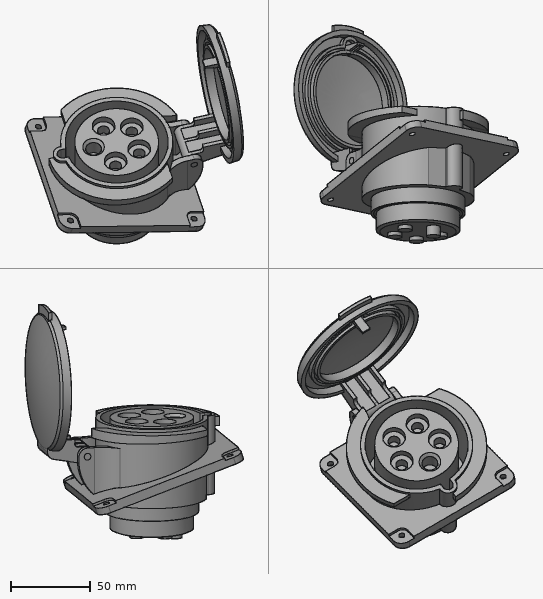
import cadquery as cq
import math

CUP_RADIUS = 35.3
CUP_BORE = 32.4
CUP_HEIGHT = 51.1
CUP_FLOOR = 3.1
SKIRT_RADIUS = 29.6
SKIRT_DEPTH = 9.5
SKIRT_BORE = 28.1

KEY_CENTRE = 35.3
KEY_RADIUS = 5.9
LOWER_KEY_RADIUS = 5.4
KEY_SLOT_RADIUS = 3.4
FLAT_HALF_WIDTH = 17.0
FLAT_DEPTH = 0.8

FLANGE_WIDTH = 90.0
FLANGE_LENGTH = 100.0
FLANGE_THICKNESS = 6.2
FLANGE_TILT = 18.0
FLANGE_TOP_Y = 0.2
FLANGE_TOP_Z = 20.7
FLANGE_CORNER = 7.1
PAD_WIDTH = 11.3
PAD_LENGTH = 12.5
PAD_CORNER = 4.6
PAD_DEPTH = 1.5
SCREW_SPACING_X = 76.9
SCREW_SPACING_Y = 80.7
SCREW_CENTRE_Y = -0.3
SCREW_RADIUS = 1.9

WING_RADIUS = 44.3
WING_TOP = 49.0
WING_THICK_BOTTOM = 43.0
WING_THIN_BOTTOM = 45.0
WING_END_Y = 26.9
RAMP_START_Y = 32.4

HINGE_Y = 46.3
HINGE_Z = 31.8
BARREL_RADIUS = 5.5
PIN_RADIUS = 2.2
CHEEK_HALF_WIDTH = 16.0
CHEEK_THICKNESS = 3.9
CHEEK_FOOT_Y = 42.5
CHEEK_FOOT_Z = 7.3
CHEEK_BULGE_Y = 49.5
CHEEK_BULGE_Z = 17.5
CHEEK_BLEND_Y = 41.8
ARM_CLEARANCE = 0.2

INSERT_RADIUS = 26.4
INSERT_TOP = CUP_HEIGHT
INSERT_BOTTOM = -21.3
INSERT_CHAMFER_HEIGHT = 2.3
INSERT_CHAMFER_WIDTH = 1.0
COLLAR_RADIUS = 28.0
CONTACT_COUNT = 5
CONTACT_CIRCLE = 15.1
SOCKET_RADIUS = 7.1
SOCKET_DEPTH = 5.0
CONTACT_RADIUS = 3.7
CONTACT_DEPTH = 12.3
EARTH_MOUTH_RADIUS = 6.8
EARTH_RADIUS = 5.0
COUNTERSINK_DEPTH = 1.9
TERMINAL_RADIUS = 4.5
TERMINAL_LENGTH = 2.5
EARTH_TERMINAL_LENGTH = 6.2

LID_Z = 78.4
LID_FRONT = 64.4
LID_SHOULDER = 69.8
LID_BACK = 71.3
LID_APEX = 75.8
LID_RADIUS = 44.5
SHOULDER_RADIUS = 43.8
DOME_RADIUS = 42.3
RIM_BORE = 41.2
RIM_DRAFT = 5.0
LID_FLOOR = 69.1
OUTER_RING_FRONT = 66.2
OUTER_RING_BORE = 33.3
INNER_RING_FRONT = 65.1
INNER_RING_RADIUS = 31.6
DISH_RADIUS = 29.6
DISH_EDGE = 71.0
DISH_APEX = 73.5
LID_KEY_CENTRE = 34.4
LID_KEY_RADIUS = 6.8
LID_KEY_SLOT = 4.5
TAB_RADIUS = 48.5
TAB_WIDTH = 24.0
TAB_FRONT = 68.5
TAB_THICKNESS = 2.2

TONGUE_WIDTH = 5.7
TONGUE_TOP = 113.5
TONGUE_TIP_Y = 56.8
TONGUE_TIP_HEIGHT = 1.5
TONGUE_ROOT_HEIGHT = 3.5
TONGUE_SLOT_WIDTH = 1.7
TONGUE_SLOT_TOP = 112.2

ARM_HEEL_Z = 31.2
ARM_HEEL_RADIUS = 5.0
RIB_TOP = 42.5
RIB_END_Y = 53.4
RIB_STEP_Z = 40.1
RIB_BLEND_Y = 51.5
CHANNEL_FLOOR = 37.0
SIDE_RIB = 2.5
MIDDLE_RIB = 2.2

arm_half_width = CHEEK_HALF_WIDTH - CHEEK_THICKNESS - ARM_CLEARANCE


def cylinder(radius, bottom, top, x=0.0, y=0.0):
    """Vertical cylinder between two heights."""
    return cq.Workplane("XY", origin=(x, y, bottom)).circle(radius).extrude(top - bottom)


def box(x_range, y_range, z_range):
    """Axis-aligned block between pairs of limits."""
    size = [high - low for low, high in (x_range, y_range, z_range)]
    corner = (x_range[0], y_range[0], z_range[0])
    return cq.Workplane("XY").box(*size, centered=False).translate(corner)


def keyed_prism(plane, radius, key_radius, key_offset, depth):
    """Round disc with a round-ended bulge at `key_offset` along the plane's second axis."""
    disc = plane.circle(radius).extrude(depth)
    bulge = plane.center(0, key_offset).circle(key_radius).extrude(depth)
    neck = plane.center(0, key_offset / 2).rect(2 * key_radius, abs(key_offset)).extrude(depth)
    return disc.union(bulge).union(neck)


def x_prism(outline, half_width):
    """Extrude an outline in the YZ plane symmetrically about X = 0."""
    return outline.extrude(half_width, both=True)



def place_on_flange(body):
    """Move a body from the level frame of the flange top to its tilted place."""
    tilted = body.rotate((0, 0, 0), (1, 0, 0), -FLANGE_TILT)
    return tilted.translate((0, FLANGE_TOP_Y, FLANGE_TOP_Z))


def make_flange():
    plate = box(
        (-FLANGE_WIDTH / 2, FLANGE_WIDTH / 2),
        (-FLANGE_LENGTH / 2, FLANGE_LENGTH / 2),
        (-FLANGE_THICKNESS, 0),
    ).edges("|Z").fillet(FLANGE_CORNER)
    pads = (
        cq.Workplane("XY")
        .rarray(FLANGE_WIDTH, FLANGE_LENGTH, 2, 2)
        .rect(2 * PAD_WIDTH, 2 * PAD_LENGTH)
        .extrude(-PAD_DEPTH)
        .edges("|Z")
        .fillet(PAD_CORNER)
    )
    return place_on_flange(plate.cut(pads)).cut(make_screw_holes())


def make_screw_holes():
    """Vertical holes through the tilted corners."""
    return (
        cq.Workplane("XY")
        .center(0, SCREW_CENTRE_Y)
        .rarray(SCREW_SPACING_X, SCREW_SPACING_Y, 2, 2)
        .circle(SCREW_RADIUS)
        .extrude(FLANGE_LENGTH, both=True)
    )


def below_flange():
    """Space under the mid-plane of the tilted flange."""
    reach = 2 * FLANGE_LENGTH
    space = box((-reach, reach), (-reach, reach), (-reach, -FLANGE_THICKNESS / 2))
    return place_on_flange(space)


def make_cup_shell():
    base = cq.Workplane("XY")
    upper = keyed_prism(base, CUP_RADIUS, KEY_RADIUS, -KEY_CENTRE, CUP_HEIGHT)
    lower = keyed_prism(base, CUP_RADIUS, LOWER_KEY_RADIUS, -KEY_CENTRE, CUP_HEIGHT)
    lower = lower.cut(make_key_flats())
    return upper.cut(below_flange()).union(lower.intersect(below_flange()))


def make_key_flats():
    """Slivers that leave a flat on the cup each side of the bulge."""
    outer_y = -math.sqrt(CUP_RADIUS**2 - FLAT_HALF_WIDTH**2)
    inner_y = FLAT_DEPTH - math.sqrt(CUP_RADIUS**2 - LOWER_KEY_RADIUS**2)
    sliver = (
        cq.Workplane("XY")
        .moveTo(FLAT_HALF_WIDTH, outer_y)
        .lineTo(LOWER_KEY_RADIUS, inner_y)
        .lineTo(LOWER_KEY_RADIUS, -CUP_RADIUS)
        .lineTo(FLAT_HALF_WIDTH, -CUP_RADIUS)
        .close()
        .extrude(CUP_HEIGHT)
    )
    return sliver.union(sliver.mirror("YZ"))


def hinge_plan(half_width, height):
    """Upright block behind the cup whose sides flare out to meet the cup tangentially."""
    outer_blend = (
        (CHEEK_HALF_WIDTH**2 + CHEEK_BLEND_Y**2 - CUP_RADIUS**2)
        / (2 * (CUP_RADIUS - CHEEK_HALF_WIDTH))
    )
    blend_x = CHEEK_HALF_WIDTH + outer_blend
    blend = blend_x - half_width
    rear_y = HINGE_Y + BARREL_RADIUS
    angle = math.atan2(CHEEK_BLEND_Y, blend_x)
    end_x = blend_x - blend * math.cos(angle)
    end_y = CHEEK_BLEND_Y - blend * math.sin(angle)
    middle_x = blend_x - blend * math.cos(angle / 2)
    middle_y = CHEEK_BLEND_Y - blend * math.sin(angle / 2)
    return (
        cq.Workplane("XY")
        .moveTo(half_width, rear_y)
        .lineTo(half_width, CHEEK_BLEND_Y)
        .threePointArc((middle_x, middle_y), (end_x, end_y))
        .lineTo(-end_x, end_y)
        .threePointArc((-middle_x, middle_y), (-half_width, CHEEK_BLEND_Y))
        .lineTo(-half_width, rear_y)
        .close()
        .extrude(height)
    )


def make_cheeks():
    top = HINGE_Z + BARREL_RADIUS
    quarter = BARREL_RADIUS * math.sqrt(0.5)
    side_outline = (
        cq.Workplane("YZ")
        .moveTo(0, top)
        .lineTo(HINGE_Y, top)
        .threePointArc((HINGE_Y + quarter, HINGE_Z + quarter), (HINGE_Y + BARREL_RADIUS, HINGE_Z))
        .threePointArc((CHEEK_BULGE_Y, CHEEK_BULGE_Z), (CHEEK_FOOT_Y, CHEEK_FOOT_Z))
        .lineTo(0, FLANGE_TOP_Z)
        .close()
    )
    side = x_prism(side_outline, CUP_RADIUS)
    return hinge_plan(CHEEK_HALF_WIDTH, top).intersect(side).union(make_cheek_roots())


def make_cheek_roots():
    """Bottom of the cheeks and their flares, sunk into the flange."""
    roots = hinge_plan(CHEEK_HALF_WIDTH, FLANGE_TOP_Z)
    slab = place_on_flange(
        box(
            (-FLANGE_WIDTH / 2, FLANGE_WIDTH / 2),
            (-FLANGE_LENGTH / 2, FLANGE_LENGTH / 2 - PAD_LENGTH / 2),
            (-FLANGE_THICKNESS, 0),
        )
    )
    return roots.intersect(slab)


def make_wing():
    """Wing on the +X side: half a ring with a square end and a ramped underside."""
    ring = cylinder(WING_RADIUS, WING_THICK_BOTTOM, WING_TOP)
    half = box((0, WING_RADIUS), (-WING_RADIUS, WING_END_Y), (WING_THICK_BOTTOM, WING_TOP))
    ramp_outline = (
        cq.Workplane("YZ")
        .moveTo(-RAMP_START_Y, WING_THICK_BOTTOM)
        .lineTo(WING_END_Y, WING_THIN_BOTTOM)
        .lineTo(WING_END_Y, WING_THICK_BOTTOM)
        .close()
    )
    return ring.intersect(half).cut(x_prism(ramp_outline, WING_RADIUS))


def make_housing():
    wing = make_wing()
    opposite_wing = wing.rotate((0, 0, 0), (0, 0, 1), 180)
    hinge_pocket = hinge_plan(CHEEK_HALF_WIDTH - CHEEK_THICKNESS, CUP_HEIGHT)
    body = make_cheeks().union(wing).union(opposite_wing).cut(hinge_pocket)
    body = body.union(make_flange()).union(make_cup_shell())
    body = body.union(cylinder(SKIRT_RADIUS, -SKIRT_DEPTH, CUP_FLOOR))

    bore_plane = cq.Workplane("XY", origin=(0, 0, CUP_FLOOR))
    bore = keyed_prism(bore_plane, CUP_BORE, KEY_SLOT_RADIUS, -KEY_CENTRE, CUP_HEIGHT)
    opening = cylinder(SKIRT_BORE, -SKIRT_DEPTH, CUP_FLOOR)
    pin_hole = make_pin()
    return body.cut(bore).cut(opening).cut(pin_hole)



def make_insert():
    body = cylinder(INSERT_RADIUS, INSERT_BOTTOM, INSERT_TOP)
    body = body.faces("<Z").chamfer(INSERT_CHAMFER_WIDTH, INSERT_CHAMFER_HEIGHT)
    body = body.union(cylinder(COLLAR_RADIUS, -SKIRT_DEPTH, CUP_FLOOR))
    for index in range(CONTACT_COUNT):
        angle = math.radians(index * 360 / CONTACT_COUNT - 90)
        place = (CONTACT_CIRCLE * math.cos(angle), CONTACT_CIRCLE * math.sin(angle))
        is_earth = index == 0
        length = EARTH_TERMINAL_LENGTH if is_earth else TERMINAL_LENGTH
        body = body.union(cylinder(TERMINAL_RADIUS, INSERT_BOTTOM - length, INSERT_BOTTOM, *place))
        body = body.cut(earth_socket(*place) if is_earth else live_socket(*place))
    return body


def live_socket(x, y):
    """Counterbored blind contact hole."""
    mouth = cylinder(SOCKET_RADIUS, INSERT_TOP - SOCKET_DEPTH, INSERT_TOP, x, y)
    return mouth.union(cylinder(CONTACT_RADIUS, INSERT_TOP - CONTACT_DEPTH, INSERT_TOP, x, y))


def earth_socket(x, y):
    """Countersunk blind contact hole."""
    straight = cylinder(EARTH_RADIUS, INSERT_TOP - CONTACT_DEPTH, INSERT_TOP, x, y)
    mouth = cq.Solid.makeCone(EARTH_RADIUS, EARTH_MOUTH_RADIUS, COUNTERSINK_DEPTH)
    return straight.union(cq.Workplane(mouth).translate((x, y, INSERT_TOP - COUNTERSINK_DEPTH)))



def lid_plane(y):
    """Plane across the lid at the given Y, facing -Y, with local +Y up."""
    return cq.Workplane("XZ", origin=(0, y, LID_Z))


def make_lid_disc():
    """Solid domed disc, and the dish to be cut from its middle."""
    outline = (
        cq.Workplane("XY")
        .moveTo(0, LID_FRONT)
        .lineTo(LID_RADIUS, LID_FRONT)
        .lineTo(SHOULDER_RADIUS, LID_SHOULDER)
        .lineTo(DOME_RADIUS, LID_BACK)
    )
    dome = outline.threePointArc(*dome_points(DOME_RADIUS, LID_BACK, LID_APEX)).close()
    dish = (
        cq.Workplane("XY")
        .moveTo(0, LID_FRONT)
        .lineTo(DISH_RADIUS, LID_FRONT)
        .lineTo(DISH_RADIUS, DISH_EDGE)
        .threePointArc(*dome_points(DISH_RADIUS, DISH_EDGE, DISH_APEX))
        .close()
    )
    centre = (0, 0, LID_Z)
    return spin_about_y(dome).translate(centre), spin_about_y(dish).translate(centre)


def spin_about_y(outline):
    return outline.revolve(360, (0, 0, 0), (0, 1, 0))


def dome_points(edge_radius, edge_y, apex_y):
    """Middle and end points of the arc from the edge of a shallow dome to its apex."""
    rise = apex_y - edge_y
    sphere = (edge_radius**2 + rise**2) / (2 * rise)
    half_angle = math.asin(edge_radius / sphere) / 2
    middle = (sphere * math.sin(half_angle), apex_y - sphere * (1 - math.cos(half_angle)))
    return middle, (0, apex_y)


def lid_ring(front, radius, bore, key_radius=0.0, key_slot=0.0):
    """Raised ring on the lid floor, with a matching keyway bulge when a radius is given."""
    plane = lid_plane(LID_FLOOR)
    depth = LID_FLOOR - front
    if not key_radius:
        return plane.circle(radius).circle(bore).extrude(depth)
    outside = keyed_prism(plane, radius, key_radius, LID_KEY_CENTRE, depth)
    return outside.cut(keyed_prism(plane, bore, key_slot, LID_KEY_CENTRE, depth))


def make_tab():
    disc = lid_plane(TAB_FRONT + TAB_THICKNESS).circle(TAB_RADIUS).extrude(TAB_THICKNESS)
    top = box(
        (-TAB_WIDTH / 2, TAB_WIDTH / 2),
        (TAB_FRONT, TAB_FRONT + TAB_THICKNESS),
        (LID_Z + RIM_BORE, LID_Z + TAB_RADIUS),
    )
    return disc.intersect(top)


def make_tongue():
    slope = (TONGUE_ROOT_HEIGHT - TONGUE_TIP_HEIGHT) / (LID_FRONT - TONGUE_TIP_Y)
    root_height = TONGUE_TIP_HEIGHT + slope * (LID_FLOOR - TONGUE_TIP_Y)
    outline = (
        cq.Workplane("YZ")
        .moveTo(LID_FLOOR, TONGUE_TOP)
        .lineTo(TONGUE_TIP_Y, TONGUE_TOP)
        .lineTo(TONGUE_TIP_Y, TONGUE_TOP - TONGUE_TIP_HEIGHT)
        .lineTo(LID_FLOOR, TONGUE_TOP - root_height)
        .close()
    )
    return x_prism(outline, TONGUE_WIDTH / 2)


def make_tongue_slot():
    """Narrow slot up the middle of the tongue and through the inner ring."""
    return box(
        (-TONGUE_SLOT_WIDTH / 2, TONGUE_SLOT_WIDTH / 2),
        (TONGUE_TIP_Y, DISH_EDGE),
        (LID_Z + DISH_RADIUS - 1.5, TONGUE_SLOT_TOP),
    )


def make_arm():
    barrel_top = HINGE_Z + BARREL_RADIUS
    barrel_bottom = HINGE_Z - BARREL_RADIUS
    blend_drop = RIB_STEP_Z - barrel_top
    blend_run = RIB_END_Y - RIB_BLEND_Y
    arc_share = 1 - math.sqrt(0.5)
    outline = (
        cq.Workplane("YZ")
        .moveTo(HINGE_Y, barrel_bottom)
        .threePointArc((HINGE_Y - BARREL_RADIUS, HINGE_Z), (HINGE_Y, barrel_top))
        .lineTo(RIB_BLEND_Y, barrel_top)
        .threePointArc(
            (RIB_END_Y - arc_share * blend_run, barrel_top + arc_share * blend_drop),
            (RIB_END_Y, RIB_STEP_Z),
        )
        .lineTo(RIB_END_Y, RIB_TOP)
        .lineTo(LID_BACK, RIB_TOP)
        .lineTo(LID_BACK, ARM_HEEL_Z)
        .close()
    )
    arm = x_prism(outline, arm_half_width)
    return arm.faces(">Y").edges("<Z").fillet(ARM_HEEL_RADIUS)


def make_arm_channels():
    """Two channels between the side ribs and the middle rib, running into the lid."""
    channel = box(
        (MIDDLE_RIB / 2, arm_half_width - SIDE_RIB),
        (HINGE_Y - BARREL_RADIUS, LID_FLOOR),
        (CHANNEL_FLOOR, RIB_TOP),
    )
    return channel.union(channel.mirror("YZ"))


def make_lid():
    disc, dish = make_lid_disc()
    recess = lid_plane(LID_FRONT).circle(RIM_BORE).extrude(LID_FRONT - LID_FLOOR, taper=RIM_DRAFT)
    outer_ring = lid_ring(OUTER_RING_FRONT, CUP_RADIUS, OUTER_RING_BORE, LID_KEY_RADIUS, LID_KEY_SLOT)
    inner_ring = lid_ring(INNER_RING_FRONT, INNER_RING_RADIUS, DISH_RADIUS)
    channels = make_arm_channels()
    body = disc.cut(recess).cut(dish).cut(channels).union(make_tab())
    body = body.union(make_arm().cut(channels))
    body = body.union(outer_ring).union(inner_ring).union(make_tongue())
    return body.cut(make_tongue_slot()).cut(make_pin())



def make_pin():
    circle = cq.Workplane("YZ", origin=(0, HINGE_Y, HINGE_Z)).circle(PIN_RADIUS)
    return circle.extrude(CHEEK_HALF_WIDTH, both=True)


housing = make_housing()
insert = make_insert()
lid = make_lid()
hinge_pin = make_pin()

result = cq.Compound.makeCompound([housing.val(), insert.val(), lid.val(), hinge_pin.val()])